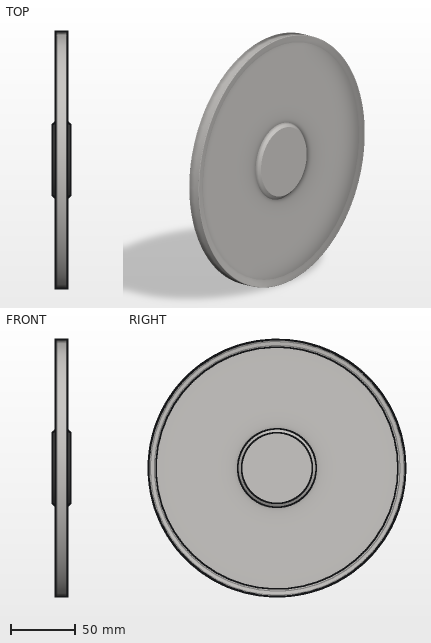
import cadquery as cq
import math


hub_width = 14.0
hub_face_diameter = 55.0
web_width = 8.0

outer_diameter = 200.0
rim_width = 10.0
flank_start_diameter = 188.0
coating_fillet = 0.5

core_diameter = 199.0
flank_coating = 0.25
core_fillet = 0.8

half_hub = hub_width / 2
half_web = web_width / 2
half_rim = rim_width / 2
hub_face_radius = hub_face_diameter / 2
hub_base_radius = hub_face_radius + half_hub - half_web
outer_radius = outer_diameter / 2
flank_start_radius = flank_start_diameter / 2
core_radius = core_diameter / 2

flank_angle = math.atan2(half_rim - half_web, outer_radius - flank_start_radius)
core_flank_start_radius = flank_start_radius + flank_coating / math.sin(flank_angle)
core_half_rim = half_web + (core_radius - core_flank_start_radius) * math.tan(flank_angle)


def wheel(half_profile, rim_fillet):
    """Mirror (x, radius) points about X = 0, revolve about X and round the two outermost edges."""
    mirrored = [(-x, radius) for x, radius in reversed(half_profile)]
    outline = cq.Workplane("XY").polyline(half_profile + mirrored).close()
    solid = outline.revolve(360, (0, 0, 0), (1, 0, 0))
    rim_edges = cq.selectors.RadiusNthSelector(-1)
    return solid.edges(rim_edges).fillet(rim_fillet)


def make_core():
    """Solid wheel: chamfered hub bosses, flat web and a rim that thickens outwards."""
    half_profile = [
        (half_hub, 0),
        (half_hub, hub_face_radius),
        (half_web, hub_base_radius),
        (half_web, core_flank_start_radius),
        (core_half_rim, core_radius),
    ]
    return wheel(half_profile, core_fillet)


def make_coating(core):
    """Thin layer wrapped over the rim and both flanks of the core."""
    envelope_half_profile = [
        (half_web, 0),
        (half_web, flank_start_radius),
        (half_rim, outer_radius),
    ]
    return wheel(envelope_half_profile, coating_fillet).cut(core)


core = make_core()
coating = make_coating(core)

result = cq.Compound.makeCompound([core.solids().val(), coating.solids().val()])